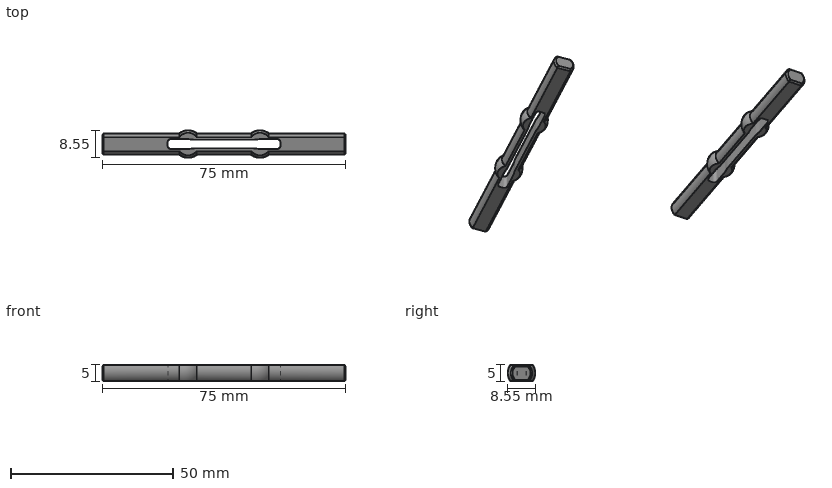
import cadquery as cq

length = 75.0
thickness = 5.0
rod_diameter = 6.6
end_chamfer = 0.5

ball_diameter = 8.55
ball_spacing = 22.1

slot_length = 34.65
slot_end_width = 3.0
slot_waist_width = 2.55
slot_corner_radius = 1.0
waist_length = 18.3
waist_taper_length = 1.95


def make_rod():
    """Round rod along X, cut to flats above and below, with chamfered ends."""
    round_rod = cq.Workplane("YZ").circle(rod_diameter / 2).extrude(length / 2, both=True)
    flats = cq.Workplane("XY").box(length, rod_diameter, thickness)
    return round_rod.intersect(flats).faces("<X or >X").chamfer(end_chamfer)


def make_ball(x_center):
    """Ball on the rod axis, cut to the same flats as the rod."""
    ball = cq.Workplane("XY").sphere(ball_diameter / 2)
    flats = cq.Workplane("XY").box(ball_diameter, ball_diameter, thickness)
    return ball.intersect(flats).translate((x_center, 0, 0))


def make_slot():
    """Cutter for the slot: two wide ends tapering to a narrow waist, with rounded end corners."""
    half_length = slot_length / 2
    half_end = slot_end_width / 2
    half_waist = slot_waist_width / 2
    waist_x = waist_length / 2
    taper_x = waist_x + waist_taper_length
    upper_edge = [
        (-half_length, half_end),
        (-taper_x, half_end),
        (-waist_x, half_waist),
        (waist_x, half_waist),
        (taper_x, half_end),
        (half_length, half_end),
    ]
    lower_edge = [(x, -y) for x, y in reversed(upper_edge)]
    outline = cq.Workplane("XY").polyline(upper_edge + lower_edge).close()
    cutter = outline.extrude(thickness / 2, both=True)
    end_corners = cutter.faces("<X or >X").edges("|Z")
    return end_corners.fillet(slot_corner_radius)


result = make_rod()
for side in (-1, 1):
    result = result.union(make_ball(side * ball_spacing / 2))
result = result.cut(make_slot())